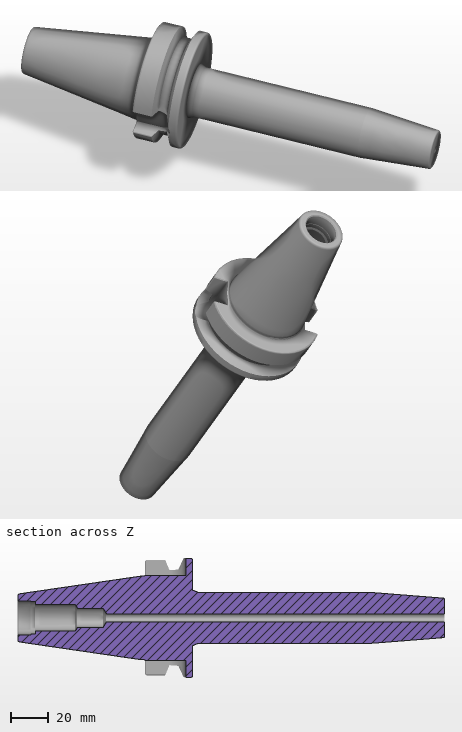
import cadquery as cq
import math

total_length = 225.5
taper_length = 65.4
flange_start = 67.5
flange_end = 92.5
tip_start = 186.9

gauge_diameter = 44.5
flange_diameter = 63.0
groove_diameter = 52.7
collar_diameter = 29.5
shank_diameter = 27.0
tip_end_diameter = 21.0
taper_ratio = 7 / 24
small_end_diameter = gauge_diameter - taper_ratio * taper_length

groove_start = 78.0
groove_floor_start = 80.2
groove_floor_end = 85.0
groove_end = 87.7

small_end_round = 1.4
flange_edge_round = 1.1
front_edge_round = 1.0
tip_edge_round = 1.0
root_round = 0.7
slot_edge_chamfer = 0.5
collar_length = 3.0

slot_width = 16.2
slot_end = 88.5
slot_floor_offset = 22.5

mouth_diameter = 18.7
counterbore_diameter = 17.5
mouth_chamfer = (mouth_diameter - counterbore_diameter) / 2
counterbore_depth = 7.0
step_diameter = 17.0
step_depth = 9.5
thread_diameter = 13.7
thread_depth = 30.5
inner_diameter = 10.0
inner_depth = 45.0
through_diameter = 4.0
drill_half_angle = math.radians(59)


def revolve_profile(stations):
    """Revolve (x, diameter) stations about the X axis."""
    outline = [(x, diameter / 2) for x, diameter in stations]
    axis_points = [(stations[-1][0], 0), (stations[0][0], 0)]
    profile = cq.Workplane("XY").polyline(outline + axis_points).close()
    return profile.revolve(360, (0, 0, 0), (1, 0, 0))


def cone_length(large_diameter, small_diameter):
    """Axial length of a drill-point cone between two diameters."""
    return (large_diameter - small_diameter) / 2 / math.tan(drill_half_angle)


def round_circle(body, x, radius, rank):
    """Round one circular edge at x; rank 0 is the smallest circle, -1 the largest."""
    slab = cq.selectors.BoxSelector(
        (x - radius / 2, -flange_diameter, -flange_diameter),
        (x + radius / 2, flange_diameter, flange_diameter),
        boundingbox=True,
    )
    return body.edges(slab).edges(cq.selectors.RadiusNthSelector(rank)).fillet(radius)


def make_body():
    body = revolve_profile([
        (0, small_end_diameter),
        (taper_length, gauge_diameter),
        (flange_start, gauge_diameter),
        (flange_start, flange_diameter),
        (groove_start, flange_diameter),
        (groove_floor_start, groove_diameter),
        (groove_floor_end, groove_diameter),
        (groove_end, flange_diameter),
        (flange_end, flange_diameter),
        (flange_end, collar_diameter),
        (flange_end + collar_length, shank_diameter),
        (tip_start, shank_diameter),
        (total_length, tip_end_diameter),
    ])
    body = body.faces("<X").edges().fillet(small_end_round)
    body = body.faces(">X").edges().fillet(tip_edge_round)
    body = round_circle(body, flange_start, root_round, 0)
    body = round_circle(body, flange_start, front_edge_round, -1)
    return round_circle(body, flange_end, flange_edge_round, -1)


def make_slot(side):
    """Round-ended drive slot; side is -1 for -Y and +1 for +Y."""
    round_center = slot_end - slot_width / 2
    depth = flange_diameter / 2 - slot_floor_offset
    straight = cq.Workplane("XY").box(
        round_center - flange_start, depth, slot_width, centered=(False, False, True)
    ).translate((flange_start, slot_floor_offset, 0))
    rounded = cq.Workplane("XZ", origin=(round_center, slot_floor_offset, 0))
    rounded = rounded.circle(slot_width / 2).extrude(-depth)
    slot = straight.union(rounded)
    return slot if side > 0 else slot.mirror("XZ")


def make_bore():
    thread_cone = cone_length(thread_diameter, inner_diameter)
    inner_cone = cone_length(inner_diameter, through_diameter)
    return revolve_profile([
        (0, mouth_diameter),
        (mouth_chamfer, counterbore_diameter),
        (counterbore_depth, counterbore_diameter),
        (counterbore_depth, step_diameter),
        (step_depth, step_diameter),
        (step_depth, thread_diameter),
        (thread_depth, thread_diameter),
        (thread_depth + thread_cone, inner_diameter),
        (inner_depth, inner_diameter),
        (inner_depth + inner_cone, through_diameter),
        (total_length, through_diameter),
    ])


result = make_body().cut(make_bore())
for slot_side in (-1, 1):
    result = result.cut(make_slot(slot_side))

margin = 0.2
for slot_side in (-1, 1):
    for wall_side in (-1, 1):
        wall_z = wall_side * slot_width / 2
        inner_y = slot_side * (slot_floor_offset + margin)
        wall_edges = cq.selectors.BoxSelector(
            (flange_start - margin, inner_y, wall_z - margin),
            (groove_start - margin, slot_side * flange_diameter / 2, wall_z + margin),
        )
        result = result.edges(wall_edges).chamfer(slot_edge_chamfer)